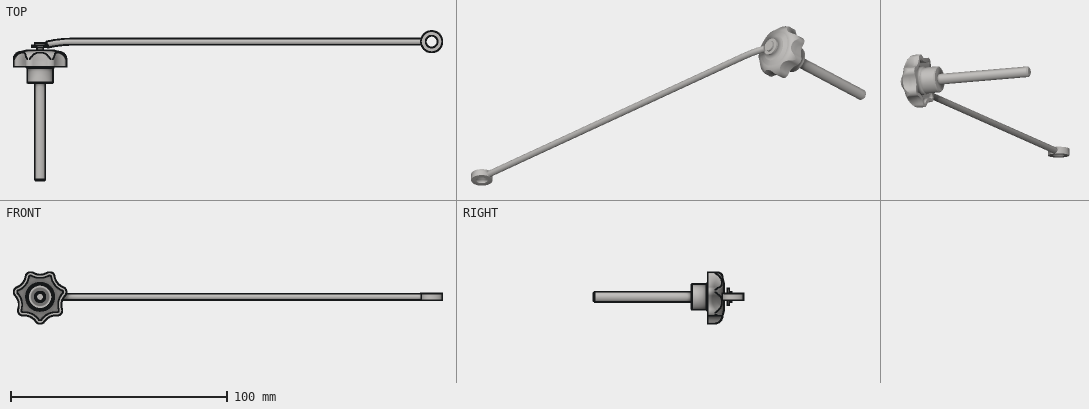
import cadquery as cq
import math


lobe_count = 7
lobe_center_radius = 10.1
lobe_tip_radius = 2.4
valley_floor_radius = 10.3
head_height = 7.7
head_flat_radius = 6.0
head_edge_round = 4.2
head_edge_height = 3.0
head_wall = 1.5
pocket_depth = 5.0

hub_diameter = 12.0
collar_diameter = 13.0
collar_chamfer = (collar_diameter - hub_diameter) / 2
hub_length = 7.5
hub_chamfer = 0.5
stud_diameter = 5.0
stud_end_y = -52.7
stud_chamfer = 0.7

pin_diameter = 3.0
ring_diameter = 8.0
ring_start_y = 9.1
ring_thickness = 1.0
pin_head_diameter = 5.0
pin_head_height = 1.0

arm_diameter = 3.0
arm_y = 11.7
arm_start_x = 3.2
arm_start_y = 10.3
bend_end_x = 14.9
eye_diameter = 10.0
eye_hole_diameter = 5.4
eye_thickness = 3.2
overall_length = 198.2

half_pitch = math.pi / lobe_count
lobe_outer_radius = lobe_center_radius + lobe_tip_radius
knob_half_width = lobe_center_radius * math.cos(half_pitch / 2) + lobe_tip_radius
eye_x = overall_length - knob_half_width - eye_diameter / 2


def y_cylinder(diameter, y_start, y_end):
    """Cylinder on the knob axis between two Y positions."""
    plane = cq.Workplane("XZ", origin=(0, y_start, 0))
    return plane.circle(diameter / 2).extrude(y_start - y_end)


def polar(radius, angle):
    return (radius * math.cos(angle), radius * math.sin(angle))


def lobed_prism(tip_radius, floor_radius, height):
    """Star prism of convex tips joined tangentially by concave valleys."""
    along = lobe_center_radius * math.cos(half_pitch)
    across = lobe_center_radius * math.sin(half_pitch)
    gap = floor_radius - along
    valley_radius = (gap**2 + across**2 - tip_radius**2) / (2 * (tip_radius - gap))
    valley_center = floor_radius + valley_radius

    share = valley_radius / (valley_radius + tip_radius)
    joint_along = valley_center + share * (along - valley_center)
    joint_across = share * across
    joint_radius = math.hypot(joint_along, joint_across)
    joint_angle = half_pitch - math.atan2(joint_across, joint_along)

    first_lobe = -math.pi / 2
    outline = cq.Workplane("XZ").moveTo(*polar(joint_radius, first_lobe - joint_angle))
    for index in range(lobe_count):
        lobe = first_lobe + index * 2 * half_pitch
        valley = lobe + half_pitch
        next_lobe = valley + half_pitch
        outline = outline.threePointArc(
            polar(lobe_center_radius + tip_radius, lobe),
            polar(joint_radius, lobe + joint_angle),
        )
        outline = outline.threePointArc(
            polar(floor_radius, valley),
            polar(joint_radius, next_lobe - joint_angle),
        )
    return outline.close().extrude(-height)


def knob_head():
    """Lobed head with a domed back and a pocket in its underside."""
    round_center = lobe_outer_radius - head_edge_round
    dome_top = head_edge_height + head_edge_round
    diagonal = head_edge_round * math.sqrt(0.5)
    dome = (
        cq.Workplane("XY")
        .lineTo(lobe_outer_radius, 0)
        .lineTo(lobe_outer_radius, head_edge_height)
        .threePointArc(
            (round_center + diagonal, head_edge_height + diagonal),
            (round_center, dome_top),
        )
        .lineTo(head_flat_radius, head_height)
        .lineTo(0, head_height)
        .close()
        .revolve(360, (0, 0, 0), (0, 1, 0))
    )
    head = lobed_prism(lobe_tip_radius, valley_floor_radius, head_height).intersect(dome)
    pocket = lobed_prism(
        lobe_tip_radius - head_wall, valley_floor_radius - head_wall, pocket_depth
    )
    return head.cut(pocket)


def hub_and_stud():
    """Hub with a wider collar reaching into the head pocket, and its stud."""
    hub = y_cylinder(hub_diameter, 0, -hub_length)
    hub = hub.faces("<Y").chamfer(hub_chamfer)
    collar = y_cylinder(collar_diameter, head_height - head_wall, -collar_chamfer)
    collar = collar.faces("<Y").chamfer(collar_chamfer)
    stud = y_cylinder(stud_diameter, 0, stud_end_y)
    stud = stud.faces("<Y").chamfer(stud_chamfer)
    return hub.union(collar).union(stud)


def pin_and_ring():
    ring_end_y = ring_start_y + ring_thickness
    pin = y_cylinder(pin_diameter, head_height, ring_end_y)
    ring = y_cylinder(ring_diameter, ring_start_y, ring_end_y)
    pin_head = y_cylinder(pin_head_diameter, ring_end_y, ring_end_y + pin_head_height)
    return pin.union(ring).union(pin_head)


def arm():
    """Round rod, gently curved at the ring and straight up to the eye."""
    run = bend_end_x - arm_start_x
    rise = arm_y - arm_start_y
    bend_radius = (run**2 + rise**2) / (2 * rise)
    half_bend = math.asin(run / bend_radius) / 2
    bend_middle = (
        bend_end_x - bend_radius * math.sin(half_bend),
        arm_y - bend_radius * (1 - math.cos(half_bend)),
    )
    bend_path = cq.Workplane("XY").moveTo(bend_end_x, arm_y)
    bend_path = bend_path.threePointArc(bend_middle, (arm_start_x, arm_start_y))
    joint_plane = cq.Workplane("YZ", origin=(bend_end_x, arm_y, 0))
    bend = joint_plane.circle(arm_diameter / 2).sweep(bend_path)
    straight = joint_plane.circle(arm_diameter / 2).extrude(eye_x - bend_end_x)

    eye_plane = cq.Workplane("XY", origin=(eye_x, arm_y, -eye_thickness / 2))
    eye = eye_plane.circle(eye_diameter / 2).extrude(eye_thickness)
    hole = eye_plane.circle(eye_hole_diameter / 2).extrude(eye_thickness)
    return bend.union(straight).union(eye).cut(hole)


result = knob_head().union(hub_and_stud()).union(pin_and_ring()).union(arm())